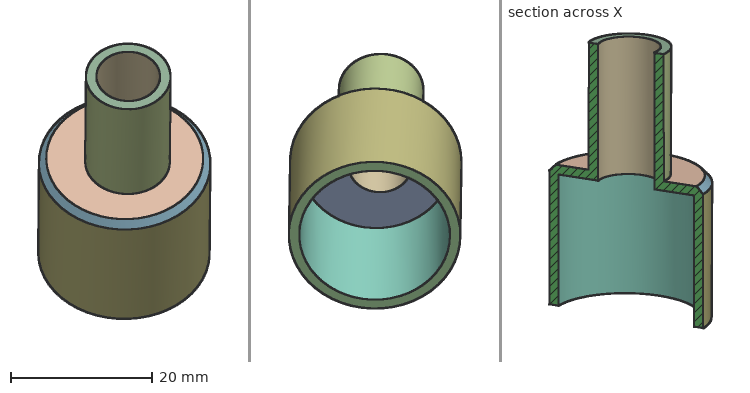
import cadquery as cq

body_diameter = 24.3
stem_diameter = 12.0
bore_diameter = 9.0
total_height = 39.98
body_height = 21.05
socket_diameter = 21.3
socket_roof = 1.5
chamfer_size = 1.05
stem_offset = 0.65
tilt_angle = 0.5


def make_body():
    """Round base with a chamfered top rim."""
    body = cq.Workplane("XY").circle(body_diameter / 2).extrude(body_height)
    return body.faces(">Z").edges().chamfer(chamfer_size)


def stem_cylinder(diameter):
    """Full-height cylinder on the stem axis."""
    return cq.Workplane("XY").center(stem_offset, 0).circle(diameter / 2).extrude(total_height)


def make_socket():
    """Blind round recess opening at the bottom of the body."""
    return cq.Workplane("XY").circle(socket_diameter / 2).extrude(body_height - socket_roof)


solid_shape = make_body().union(stem_cylinder(stem_diameter))
upright_part = solid_shape.cut(stem_cylinder(bore_diameter)).cut(make_socket())

result = upright_part.rotate((0, 0, 0), (0, 1, 0), tilt_angle)